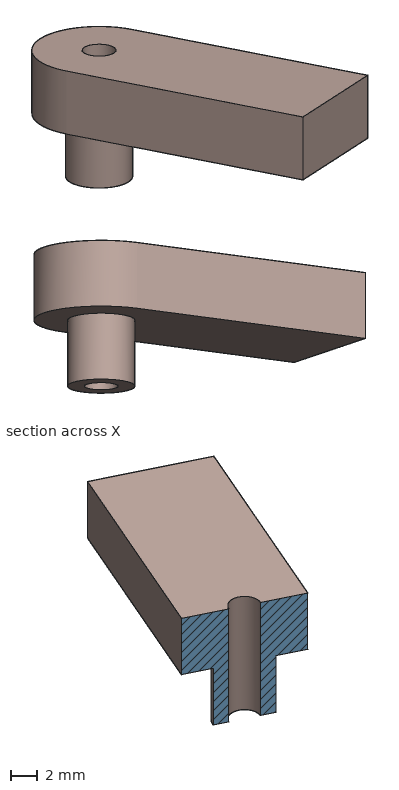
import cadquery as cq

length = 25.0
width = 10.0
arm_thickness = 5.0
pin_diameter = 5.0
pin_length = 5.0
hole_diameter = 2.5

end_radius = width / 2
square_end_x = length - end_radius


def make_arm():
    """Flat arm, rounded about the pivot and square at the far end."""
    return (
        cq.Workplane("XY")
        .moveTo(0, -end_radius)
        .lineTo(square_end_x, -end_radius)
        .lineTo(square_end_x, end_radius)
        .lineTo(0, end_radius)
        .threePointArc((-end_radius, 0), (0, -end_radius))
        .close()
        .extrude(arm_thickness)
    )


def make_pin():
    """Round pin hanging below the arm on the pivot axis."""
    return cq.Workplane("XY").circle(pin_diameter / 2).extrude(-pin_length)


def make_bore():
    """Through hole along the pivot axis, from pin tip to arm top."""
    return (
        cq.Workplane("XY")
        .workplane(offset=-pin_length)
        .circle(hole_diameter / 2)
        .extrude(pin_length + arm_thickness)
    )


result = make_arm().union(make_pin()).cut(make_bore())